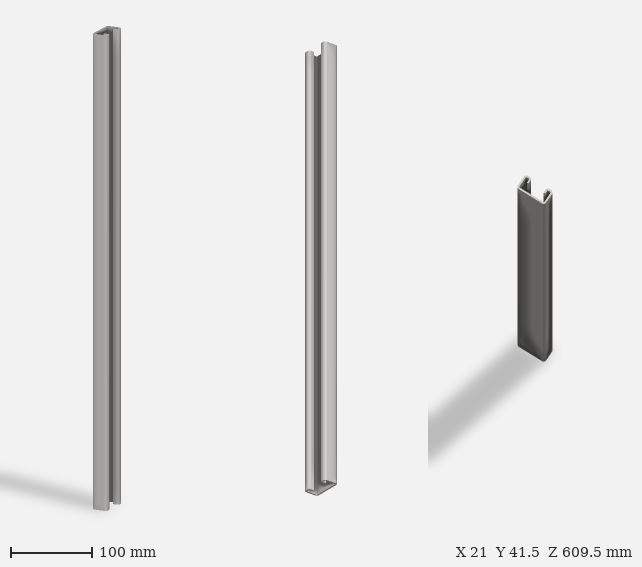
import cadquery as cq

length = 609.5
depth = 21.0
width = 41.5

thickness = 2.5
inner_radius = 1.0
outer_radius = inner_radius + thickness

slot_width = 22.0
lip_depth = 8.0

back_x = -depth / 2
front_x = depth / 2
side_y = width / 2
slot_y = slot_width / 2
lip_end_x = front_x - lip_depth


def channel_blank():
    """Solid bar with the channel's outer envelope and rounded long edges."""
    bar = cq.Workplane("XY").box(depth, width, length)
    return bar.edges("|Z").fillet(outer_radius)


def channel_cavity():
    """Hollow inside the folded sheet, with rounded long edges."""
    cavity = cq.Workplane("XY").box(depth - 2 * thickness, width - 2 * thickness, length)
    return cavity.edges("|Z").fillet(inner_radius)


def lip(side):
    """Lip folded back into the channel; side is +1 for +Y and -1 for -Y."""
    inner_y = slot_y + thickness
    fold_start_y = slot_y + outer_radius
    fold_x = front_x - outer_radius
    wall_x = front_x - thickness
    diagonal = 0.5 ** 0.5
    outer_mid = (fold_x + outer_radius * diagonal, side * (fold_start_y - outer_radius * diagonal))
    inner_mid = (fold_x + inner_radius * diagonal, side * (fold_start_y - inner_radius * diagonal))
    return (
        cq.Workplane("XY", origin=(0, 0, -length / 2))
        .moveTo(lip_end_x, side * slot_y)
        .lineTo(fold_x, side * slot_y)
        .threePointArc(outer_mid, (front_x, side * fold_start_y))
        .lineTo(wall_x, side * fold_start_y)
        .threePointArc(inner_mid, (fold_x, side * inner_y))
        .lineTo(lip_end_x, side * inner_y)
        .close()
        .extrude(length)
    )


opening_width = slot_width + 2 * outer_radius
front_opening = (
    cq.Workplane("XY")
    .box(depth / 2, opening_width, length)
    .translate((front_x - depth / 4, 0, 0))
)

result = channel_blank().cut(channel_cavity()).cut(front_opening)
for side in (1, -1):
    result = result.union(lip(side))